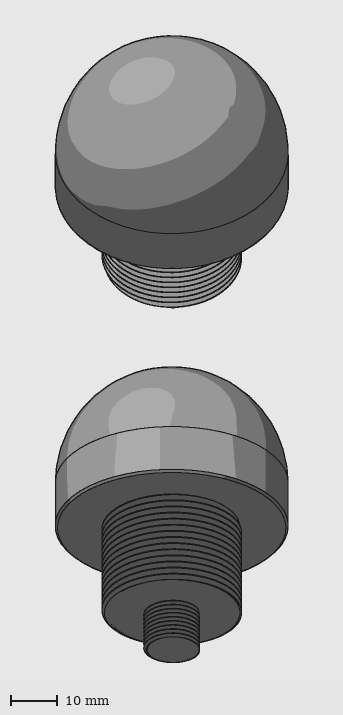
import cadquery as cq

body_diameter = 50.0
body_radius = body_diameter / 2
collar_height = 11.0
collar_chamfer = 0.5

mount_diameter = 30.0
mount_root_diameter = 27.78
mount_pitch = 1.5
mount_length = 21.0
mount_crest_offset = 1.0

connector_diameter = 12.0
connector_root_diameter = 10.52
connector_pitch = 1.0
connector_length = 9.0
connector_crest_offset = 0.58

groove_width_ratio = 7 / 8
cutter_width_ratio = 0.96
run_out_turns = 1.5

mount_bottom = connector_length
collar_bottom = mount_bottom + mount_length
dome_bottom = collar_bottom + collar_height


def thread_groove(diameter, root_diameter, pitch, length, crest_offset):
    """Right-handed V groove to cut from a rod standing on Z = 0, ending flush at the rod's top."""
    crest_radius = diameter / 2
    root_radius = root_diameter / 2

    half_width = cutter_width_ratio * pitch / 2
    cutter_depth = (crest_radius - root_radius) * cutter_width_ratio / groove_width_ratio
    cutter_radius = root_radius + cutter_depth

    start = crest_offset - run_out_turns * pitch
    helix_height = length + 2 * run_out_turns * pitch
    helix = cq.Wire.makeHelix(pitch, helix_height, crest_radius)
    groove = (
        cq.Workplane("XZ")
        .polyline([
            (root_radius, 0),
            (cutter_radius, half_width),
            (cutter_radius, -half_width),
        ])
        .close()
        .sweep(cq.Workplane(helix), isFrenet=True)
        .rotate((0, 0, 0), (0, 0, 1), 180)
        .translate((0, 0, start))
    )

    below_top = (
        cq.Workplane("XY", origin=(0, 0, length))
        .circle(diameter)
        .extrude(-helix_height)
    )
    return groove.intersect(below_top)


def make_dome():
    """Hemispherical lens on top of the collar."""
    return (
        cq.Workplane("XY")
        .sphere(body_radius, angle1=0)
        .translate((0, 0, dome_bottom))
    )


def make_base():
    """Round collar with the mounting thread hanging below it."""
    collar = (
        cq.Workplane("XY", origin=(0, 0, collar_bottom))
        .circle(body_radius)
        .extrude(collar_height)
        .faces("<Z")
        .chamfer(collar_chamfer)
    )
    mount = (
        cq.Workplane("XY", origin=(0, 0, mount_bottom))
        .circle(mount_diameter / 2)
        .extrude(mount_length)
    )
    groove = thread_groove(
        mount_diameter, mount_root_diameter, mount_pitch, mount_length, mount_crest_offset
    )
    return collar.union(mount).cut(groove.translate((0, 0, mount_bottom)))


def make_connector():
    """Threaded cable connector at the lower end."""
    rod = cq.Workplane("XY").circle(connector_diameter / 2).extrude(connector_length)
    groove = thread_groove(
        connector_diameter,
        connector_root_diameter,
        connector_pitch,
        connector_length,
        connector_crest_offset,
    )
    return rod.cut(groove)


dome = make_dome()
base = make_base()
connector = make_connector()

result = cq.Compound.makeCompound([
    *dome.solids().vals(),
    *base.solids().vals(),
    *connector.solids().vals(),
])